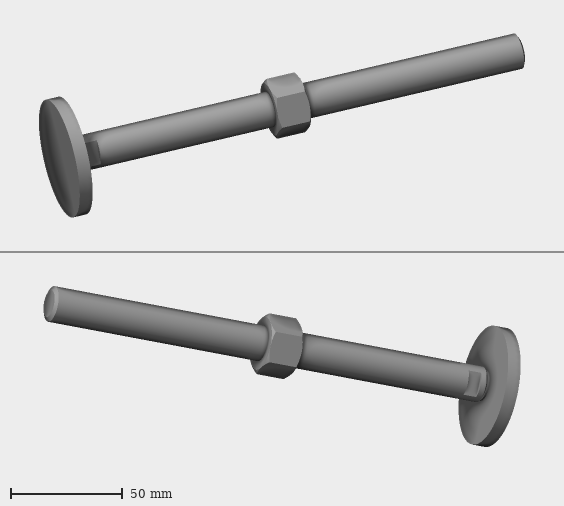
import cadquery as cq
import math

overall_length = 219.0

pad_diameter = 54.0
pad_thickness = 6.1
boss_diameter = 14.2
boss_height = 0.9
boss_top = pad_thickness + boss_height

rod_diameter = 16.2
rod_chamfer_length = 1.0
rod_chamfer_depth = 2.0

flat_start = 10.7
flat_end = 16.9
across_flats = 11.8
flat_angle = 30.0

nut_start = 99.9
nut_thickness = 15.3
nut_across_flats = 24.0
nut_chamfer_angle = 30.0

AXIS_START = (0, 0, 0)
AXIS_END = (0, 1, 0)


def cylinder(diameter, start, end):
    """Solid cylinder on the Y axis between two Y positions."""
    return cq.Workplane("XZ", origin=(0, start, 0)).circle(diameter / 2).extrude(start - end)


def revolved(points):
    """Solid of revolution about Y from (radius, Y) profile points."""
    return cq.Workplane("XY").polyline(points).close().revolve(360, AXIS_START, AXIS_END)


def make_pad():
    """Round disc on which the foot stands, with a low boss under the rod."""
    disc = cylinder(pad_diameter, 0, pad_thickness)
    boss = cylinder(boss_diameter, pad_thickness, boss_top)
    return disc.union(boss)


def wrench_flats():
    """Two opposite cutters that leave parallel flats on the rod."""
    length = flat_end - flat_start
    middle = (flat_start + flat_end) / 2
    offset = (across_flats + rod_diameter) / 2
    cutters = cq.Workplane("XY")
    for side in (-1, 1):
        cutters = cutters.add(
            cq.Workplane("XY")
            .box(rod_diameter, length, 2 * rod_diameter)
            .translate((side * offset, middle, 0))
            .rotate(AXIS_START, AXIS_END, -flat_angle)
        )
    return cutters.combine()


def make_rod():
    """Round rod standing on the pad boss, with chamfered ends and two wrench flats."""
    rod_radius = rod_diameter / 2
    end_radius = rod_radius - rod_chamfer_depth
    profile = [
        (0, boss_top),
        (end_radius, boss_top),
        (rod_radius, boss_top + rod_chamfer_length),
        (rod_radius, overall_length - rod_chamfer_length),
        (end_radius, overall_length),
        (0, overall_length),
    ]
    return revolved(profile).cut(wrench_flats())


def make_nut():
    """Hexagonal nut with corners on +/-X, both ends chamfered, bored to fit the rod."""
    nut_end = nut_start + nut_thickness
    corner_radius = nut_across_flats / math.sqrt(3)
    face_radius = nut_across_flats / 2
    chamfer_length = (corner_radius - face_radius) * math.tan(math.radians(nut_chamfer_angle))
    hexagon = (
        cq.Workplane("XZ", origin=(0, nut_start, 0))
        .polygon(6, 2 * corner_radius)
        .extrude(-nut_thickness)
    )
    chamfer_envelope = revolved([
        (0, nut_start),
        (face_radius, nut_start),
        (corner_radius, nut_start + chamfer_length),
        (corner_radius, nut_end - chamfer_length),
        (face_radius, nut_end),
        (0, nut_end),
    ])
    bore = cylinder(rod_diameter, nut_start, nut_end)
    return hexagon.intersect(chamfer_envelope).cut(bore)


pad = make_pad()
rod = make_rod()
nut = make_nut()

result = cq.Compound.makeCompound([pad.val(), rod.val(), nut.val()])